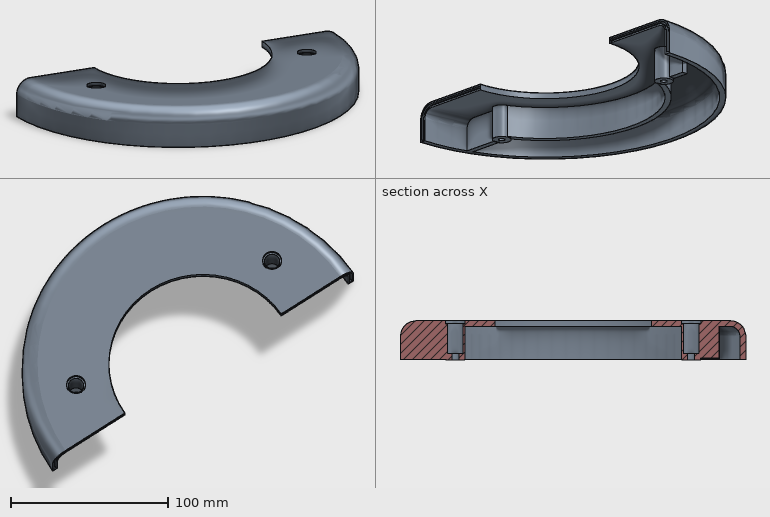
import cadquery as cq
import math

outer_radius = 115.0
opening_radius = 59.8
shell_height = 24.8
wall = 4.0
edge_radius = 10.0

boss_x = 33.1
boss_y = 75.0
boss_radius = 6.0
boss_drop = 0.5
cap_recess_radius = boss_radius
cap_recess_depth = 2.0
head_radius = 4.8
head_floor = 4.0
screw_radius = 2.0

ring_inner_radius = 76.4
rib_offset = 0.7
short_rib_length = 18.0
short_rib_clearance = 0.7

groove_inset = 1.2
groove_depth = 2.0

inner_radius = outer_radius - wall
plate_underside = shell_height - wall
bend_centre_r = outer_radius - edge_radius
bend_centre_z = shell_height - edge_radius
rib_x = boss_x - rib_offset
boss_angle = math.degrees(math.atan2(boss_y, boss_x))
boss_points = [(boss_x, boss_y), (boss_x, -boss_y)]


def bend_middle(radius):
    """Middle point of the quarter bend of the given radius between plate and rim."""
    offset = radius * math.sqrt(0.5)
    return (bend_centre_r + offset, bend_centre_z + offset)


def cover_section(inset):
    """Radial section of plate and rim, moved in by the inset on every side."""
    opening = opening_radius + inset
    outside = outer_radius - inset
    inside = inner_radius + inset
    top = shell_height - inset
    underside = plate_underside + inset
    return (
        cq.Workplane("XZ")
        .moveTo(opening, top)
        .lineTo(bend_centre_r, top)
        .threePointArc(bend_middle(outside - bend_centre_r), (outside, bend_centre_z))
        .lineTo(outside, inset)
        .lineTo(inside, inset)
        .lineTo(inside, bend_centre_z)
        .threePointArc(bend_middle(inside - bend_centre_r), (bend_centre_r, underside))
        .lineTo(opening, underside)
        .close()
    )


def filled_section():
    """Radial section of the whole space under the outer skin, from the axis outward."""
    return (
        cq.Workplane("XZ")
        .lineTo(0, shell_height)
        .lineTo(bend_centre_r, shell_height)
        .threePointArc(bend_middle(edge_radius), (outer_radius, bend_centre_z))
        .lineTo(outer_radius, 0)
        .close()
    )


def sweep_about_z(section, start_angle, sweep):
    """Turn a radial section about Z, counterclockwise from the start angle."""
    turned = section.revolve(sweep, (0, 0, 0), (0, 1, 0))
    return turned.rotate((0, 0, 0), (0, 0, 1), start_angle)


def ring_wall():
    """Curved wall that runs from one boss to the other."""
    section = cq.Workplane("XZ").moveTo(ring_inner_radius, 0).rect(wall, shell_height, centered=False)
    return sweep_about_z(section, -boss_angle, 2 * boss_angle)


def long_rib():
    """Straight rib from the +Y boss out to the rim."""
    blank = cq.Workplane("XY").box(wall, outer_radius - boss_y, plate_underside, centered=False)
    blank = blank.translate((rib_x, boss_y, 0))
    return blank.intersect(sweep_about_z(filled_section(), -90, 180))


def short_rib():
    """Straight rib from the -Y boss that stops short of the rim and of the lower edge."""
    height = plate_underside - short_rib_clearance
    blank = cq.Workplane("XY").box(wall, short_rib_length, height, centered=False)
    return blank.translate((rib_x, -boss_y - short_rib_length, short_rib_clearance))


def cylinders(radius, bottom, top):
    """Upright cylinders on both boss axes."""
    base = cq.Workplane("XY").workplane(offset=bottom)
    return base.pushPoints(boss_points).circle(radius).extrude(top - bottom)


def end_grooves():
    """Groove that follows the section in both end faces on the plane X = 0."""
    ends = cover_section(groove_inset).extrude(groove_depth, both=True)
    ends = ends.rotate((0, 0, 0), (0, 0, 1), 90)
    return ends.union(ends.mirror("XZ"))


result = sweep_about_z(cover_section(0), -90, 180)
result = result.union(ring_wall()).union(long_rib()).union(short_rib())
result = result.union(cylinders(boss_radius, -boss_drop, shell_height))
result = result.cut(cylinders(screw_radius, -boss_drop, shell_height))
result = result.cut(cylinders(head_radius, head_floor, shell_height))
result = result.cut(cylinders(cap_recess_radius, shell_height - cap_recess_depth, shell_height))
result = result.cut(end_grooves())